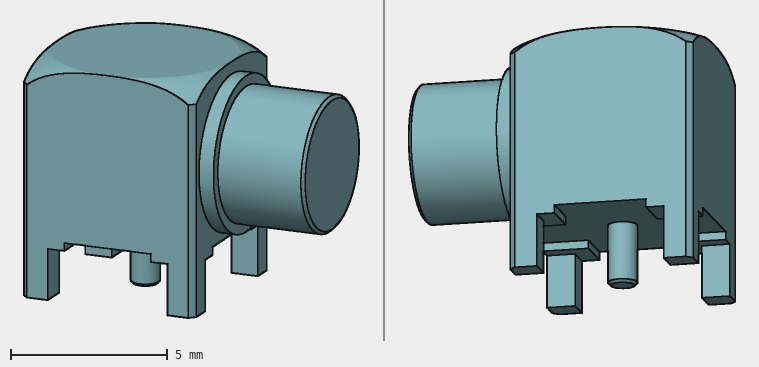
import cadquery as cq
import math

total_length = 9.5
body_width = 6.0
total_height = 7.73
edge_chamfer = 0.2
crown_radius = 1.995
crown_drop = 0.64

leg_width = 0.92
leg_height = 1.71
pad_width = 1.5
body_bottom = 1.98

pin_diameter = 0.95
pin_chamfer = 0.095

barrel_axis_height = 4.72
flange_diameter = 5.2
flange_thickness = 0.5
barrel_diameter = 4.5
barrel_chamfer = 0.1

half_width = body_width / 2
barrel_end = total_length - half_width


def crown_envelope():
    """Round solid whose domed shoulder trims the corners of the square body."""
    corner_radius = math.hypot(half_width, half_width - edge_chamfer)
    shoulder_height = total_height - crown_drop
    run = corner_radius - half_width
    chord = math.hypot(run, crown_drop)
    bulge = crown_radius - math.sqrt(crown_radius**2 - (chord / 2) ** 2)
    arc_middle = (
        (half_width + corner_radius) / 2 + bulge * crown_drop / chord,
        (total_height + shoulder_height) / 2 + bulge * run / chord,
    )
    profile = (
        cq.Workplane("XZ")
        .lineTo(corner_radius, 0)
        .lineTo(corner_radius, shoulder_height)
        .threePointArc(arc_middle, (half_width, total_height))
        .lineTo(0, total_height)
        .close()
    )
    return profile.revolve(360, (0, 0), (0, 1))


def cross_cut(corner_width, height):
    """Two crossing channels that leave a square post at each corner."""
    channel_width = body_width - 2 * corner_width
    along_x = cq.Workplane("XY").rect(body_width, channel_width).extrude(height)
    along_y = cq.Workplane("XY").rect(channel_width, body_width).extrude(height)
    return along_x.union(along_y)


def make_body():
    """Square housing with a domed crown, corner legs and standoff pads."""
    block = cq.Workplane("XY").rect(body_width, body_width).extrude(total_height)
    block = block.edges("|Z").chamfer(edge_chamfer)
    block = block.intersect(crown_envelope())
    block = block.cut(cross_cut(leg_width, leg_height))
    return block.cut(cross_cut(pad_width, body_bottom))


def make_pin():
    """Centre contact pin, ending level with the legs."""
    pin = cq.Workplane("XY").circle(pin_diameter / 2).extrude(body_bottom)
    return pin.faces("<Z").chamfer(pin_chamfer)


def make_barrel():
    """Flange and connector barrel projecting toward +X."""
    side = cq.Workplane("YZ", origin=(half_width, 0, barrel_axis_height))
    flange = side.circle(flange_diameter / 2).extrude(flange_thickness)
    barrel = side.circle(barrel_diameter / 2).extrude(barrel_end - half_width)
    barrel = barrel.faces(">X").chamfer(barrel_chamfer)
    return flange.union(barrel)


result = make_body().union(make_pin()).union(make_barrel())